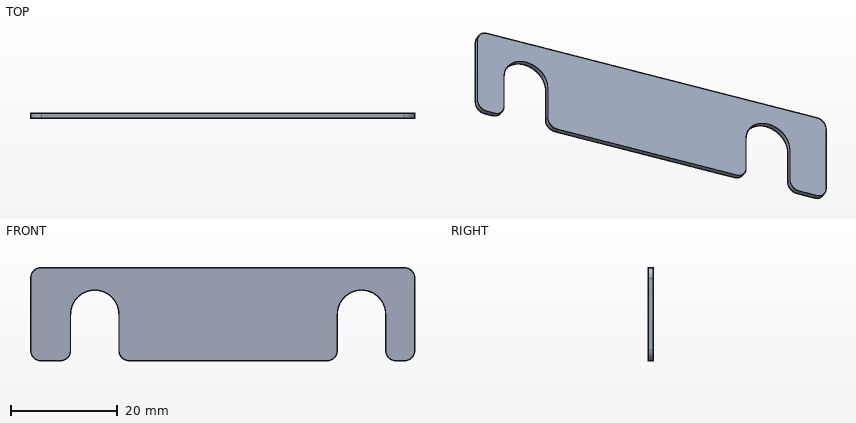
import cadquery as cq

length = 72.0
thickness = 1.0
height = 17.5
corner_radius = 2.0

slot_width = 9.0
slot_spacing = 50.0
right_slot_inset = 10.0
right_slot_x = length / 2 - right_slot_inset
slot_positions = (right_slot_x - slot_spacing, right_slot_x)


def make_plate():
    """Upright rectangular plate centred on the origin."""
    return cq.Workplane("XY").box(length, thickness, height)


def make_slot(x):
    """Cutter for one slot: a round upper end above a straight mouth."""
    radius = slot_width / 2
    return (
        cq.Workplane("XZ")
        .moveTo(x - radius, -height / 2)
        .lineTo(x - radius, 0)
        .threePointArc((x, radius), (x + radius, 0))
        .lineTo(x + radius, -height / 2)
        .close()
        .extrude(thickness, both=True)
    )


plate = make_plate()
for slot_x in slot_positions:
    plate = plate.cut(make_slot(slot_x))

outer_corners = "(<X or >X) and |Y"
mouth_corners = "<Z and |Y"
result = plate.edges(f"({outer_corners}) or ({mouth_corners})").fillet(corner_radius)